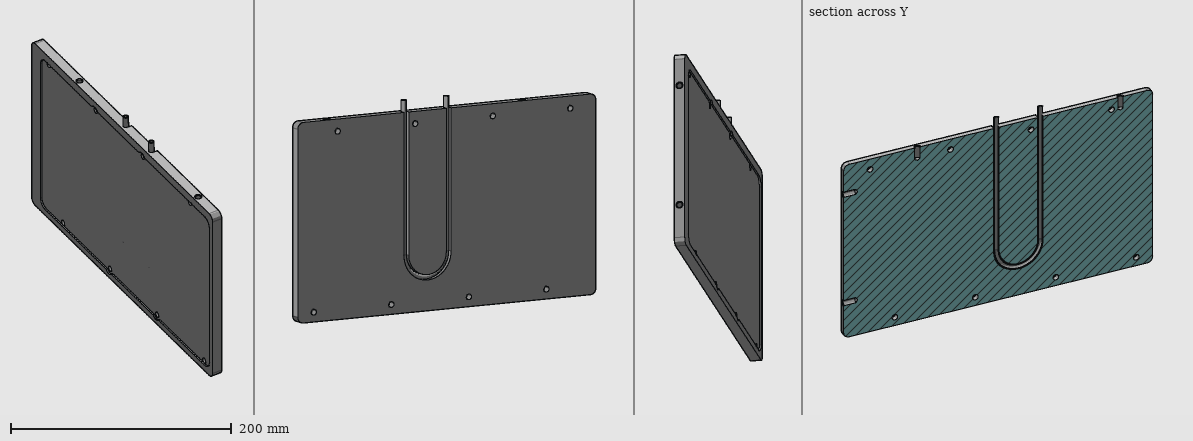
import cadquery as cq
import math

plate_length = 309.7
plate_thickness = 10.0
plate_height = 185.0
plate_corner_radius = 6.0
front_y = -plate_thickness / 2
back_y = plate_thickness / 2
left_x = -plate_length / 2
right_x = plate_length / 2
top_z = plate_height / 2
bottom_z = -plate_height / 2

pocket_depth = 1.5
pocket_corner_radius = 8.0
pocket_left_margin = 15.2
pocket_right_margin = 5.5
pocket_bottom_margin = 6.5
pocket_top_margin = 8.7
pocket_left = left_x + pocket_left_margin
pocket_right = right_x - pocket_right_margin
pocket_bottom = bottom_z + pocket_bottom_margin
pocket_top = top_z - pocket_top_margin

mount_hole_diameter = 5.3
mount_relief_diameter = 10.0
mount_holes_per_row = 4
mount_hole_pitch = 80.5
upper_row_start_x = -128.2
upper_row_z = 81.0
lower_row_start_x = -103.5
lower_row_z = -83.3

edge_hole_diameter = 5.0
edge_mouth_diameter = 6.5
edge_mouth_depth = (edge_mouth_diameter - edge_hole_diameter) / 2
edge_hole_depth = 12.5
edge_tip_angle = 118.0
edge_tip_depth = edge_hole_diameter / 2 / math.tan(math.radians(edge_tip_angle / 2))
top_hole_xs = (-80.8, 122.3)
side_hole_zs = (61.0, -54.8)

tube_radius = 2.5
tube_bore_diameter = 3.0
tube_projection = 10.5
tube_left_x = -2.0
tube_right_x = 42.0
tube_top_z = top_z + tube_projection
tube_bend_radius = (tube_right_x - tube_left_x) / 2
tube_bend_margin = 31.0
tube_bend_z = bottom_z + tube_bend_margin + tube_bend_radius


def mount_hole_row(start_x, z):
    return [(start_x + i * mount_hole_pitch, z) for i in range(mount_holes_per_row)]


def front_cylinders(points, diameter, depth):
    """Cylinders that run from the front face into the plate."""
    front = cq.Workplane("XZ", origin=(0, front_y, 0))
    return front.pushPoints(points).circle(diameter / 2).extrude(-depth)


def make_pocket(relief_points):
    width = pocket_right - pocket_left
    height = pocket_top - pocket_bottom
    front = cq.Workplane("XZ", origin=(0, front_y, 0))
    front = front.center(pocket_left + width / 2, pocket_bottom + height / 2)
    pocket = front.rect(width, height).extrude(-pocket_depth)
    pocket = pocket.edges("|Y").fillet(pocket_corner_radius)
    return pocket.union(front_cylinders(relief_points, mount_relief_diameter, pocket_depth))


def edge_hole(mouth, inward):
    """Blind hole with a conical mouth and tip, starting at a point on the plate edge."""
    bore = cq.Solid.makeCylinder(edge_hole_diameter / 2, edge_hole_depth, mouth, inward)
    cone = cq.Solid.makeCone(
        edge_mouth_diameter / 2, edge_hole_diameter / 2, edge_mouth_depth, mouth, inward
    )
    tip_start = mouth + inward * edge_hole_depth
    tip = cq.Solid.makeCone(edge_hole_diameter / 2, 0, edge_tip_depth, tip_start, inward)
    return bore.fuse(cone, tip)


def groove_profile(x, z):
    """Groove section: half round towards the front, straight walls to the back face."""
    plane = cq.Workplane("XY", origin=(x, 0, z))
    profile = plane.moveTo(-tube_radius, 0).threePointArc((0, -tube_radius), (tube_radius, 0))
    return profile.lineTo(tube_radius, back_y).lineTo(-tube_radius, back_y).close()


def outer_profile(x, z):
    return cq.Workplane("XY", origin=(x, 0, z)).circle(tube_radius)


def bore_profile(x, z):
    return cq.Workplane("XY", origin=(x, 0, z)).circle(tube_bore_diameter / 2)


def u_channel(profile):
    """Run a section down one leg, round the half-circle bend and up the other leg."""
    leg_length = tube_top_z - tube_bend_z
    left_leg = profile(tube_left_x, tube_bend_z).extrude(leg_length)
    right_leg = profile(tube_right_x, tube_bend_z).extrude(leg_length)
    axis_start = (tube_bend_radius, 0)
    axis_end = (tube_bend_radius, -1)
    bend = profile(tube_left_x, tube_bend_z).revolve(180, axis_start, axis_end)
    return left_leg.union(bend).union(right_leg)


def make_plate():
    plate = cq.Workplane("XY").box(plate_length, plate_thickness, plate_height)
    plate = plate.edges("|Y").fillet(plate_corner_radius)

    upper_row = mount_hole_row(upper_row_start_x, upper_row_z)
    lower_row = mount_hole_row(lower_row_start_x, lower_row_z)
    plate = plate.cut(make_pocket(upper_row[1:-1] + lower_row[1:-1]))
    plate = plate.cut(front_cylinders(upper_row + lower_row, mount_hole_diameter, plate_thickness))

    for x in top_hole_xs:
        plate = plate.cut(edge_hole(cq.Vector(x, 0, top_z), cq.Vector(0, 0, -1)))
    for z in side_hole_zs:
        plate = plate.cut(edge_hole(cq.Vector(left_x, 0, z), cq.Vector(1, 0, 0)))

    return plate.cut(u_channel(groove_profile))


def make_tube():
    return u_channel(outer_profile).cut(u_channel(bore_profile))


plate = make_plate()
tube = make_tube()

result = cq.Compound.makeCompound([plate.solids().val(), tube.solids().val()])